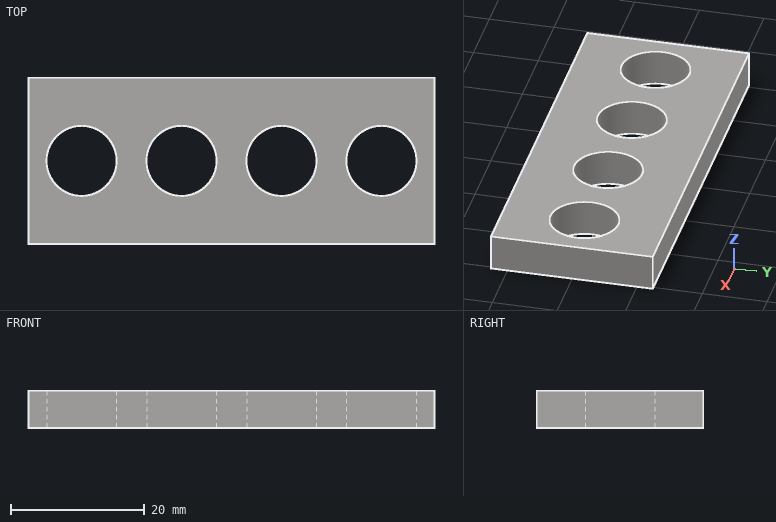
import cadquery as cq

length = 61
width = 25
thickness = 5.6

hole_count = 4
hole_diameter = 10.5
hole_pitch = 15.0

plate = cq.Workplane("XY").box(length, width, thickness)

result = (
    plate.faces(">Z")
    .workplane()
    .rarray(hole_pitch, 0.6, hole_count, 1)
    .hole(hole_diameter)
)